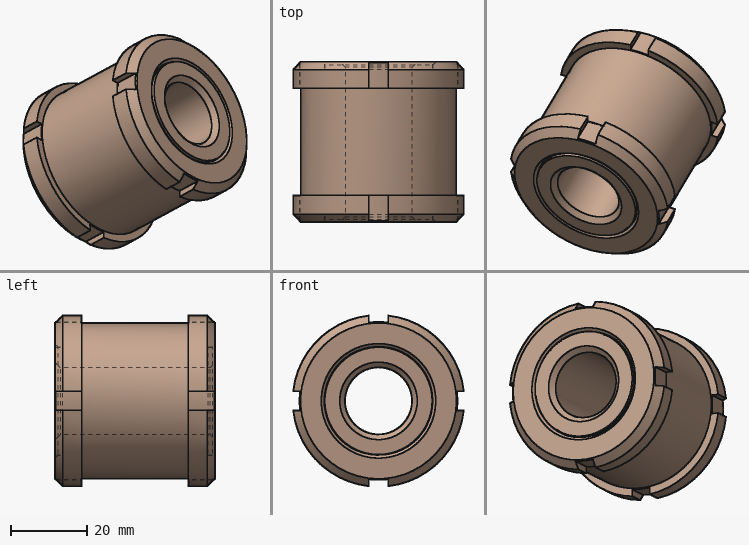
import cadquery as cq

length = 42.0
body_diameter = 40.8
collar_diameter = 45.0
collar_width = 7.0

collar_chamfer = (collar_diameter - body_diameter) / 2

slot_width = 5.0
slot_floor_diameter = 41.4
slot_count = 4

bore_diameter = 17.5
bore_chamfer = 1.4

groove_inner_diameter = 28.1
groove_outer_diameter = 28.38
groove_mouth_diameter = 30.0
groove_depth = 2.0
groove_chamfer = (groove_mouth_diameter - groove_outer_diameter) / 2

front_face = -length / 2
back_face = length / 2


def revolve_about_y(points):
    """Turn a closed (radius, y) outline about the Y axis."""
    return cq.Workplane("XY").polyline(points).close().revolve(360, (0, 0, 0), (0, 1, 0))


def make_turned_body():
    bore_radius = bore_diameter / 2
    bore_mouth_radius = bore_radius + bore_chamfer
    body_radius = body_diameter / 2
    collar_radius = collar_diameter / 2
    front_shoulder = front_face + collar_width
    back_shoulder = back_face - collar_width
    return revolve_about_y([
        (bore_radius, front_face + bore_chamfer),
        (bore_mouth_radius, front_face),
        (body_radius, front_face),
        (collar_radius, front_face + collar_chamfer),
        (collar_radius, front_shoulder),
        (body_radius, front_shoulder),
        (body_radius, back_shoulder),
        (collar_radius, back_shoulder),
        (collar_radius, back_face - collar_chamfer),
        (body_radius, back_face),
        (bore_mouth_radius, back_face),
        (bore_radius, back_face - bore_chamfer),
    ])


def make_groove(face, inward):
    """Ring groove with a chamfered outer edge; inward is +1 or -1 along Y."""
    inner_radius = groove_inner_diameter / 2
    outer_radius = groove_outer_diameter / 2
    floor = face + inward * groove_depth
    return revolve_about_y([
        (inner_radius, face),
        (groove_mouth_diameter / 2, face),
        (outer_radius, face + inward * groove_chamfer),
        (outer_radius, floor),
        (inner_radius, floor),
    ])


def make_slots():
    """Radial slots along the full length, with a round floor just outside the body."""
    slots = cq.Workplane("XY")
    for index in range(slot_count // 2):
        bar = cq.Workplane("XY").box(slot_width, length, 2 * collar_diameter)
        slots = slots.add(bar.rotate((0, 0, 0), (0, 1, 0), index * 360 / slot_count))
    slots = slots.combine()
    core = cq.Workplane("XZ").circle(slot_floor_diameter / 2).extrude(length / 2, both=True)
    return slots.cut(core)


result = (
    make_turned_body()
    .cut(make_groove(front_face, 1))
    .cut(make_groove(back_face, -1))
    .cut(make_slots())
)